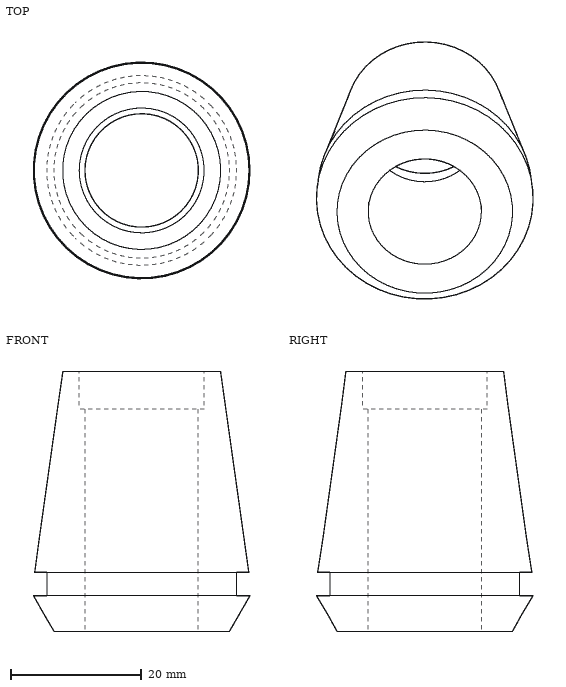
import cadquery as cq
import math

height = 40.0
flange_diameter = 33.35

flange_height = 5.5
flange_angle = 30.0

groove_diameter = 29.2
groove_width = 3.6

taper_top_diameter = 24.3
taper_angle = 8.0

bore_diameter = 17.4
counterbore_diameter = 19.2
counterbore_depth = 5.8


def radial_change(length, angle):
    """Change in radius along an axial length at an angle to the axis."""
    return length * math.tan(math.radians(angle))


def collet_body():
    """Solid of revolution about Z: flange, groove and taper."""
    flange_top_radius = flange_diameter / 2
    flange_bottom_radius = flange_top_radius - radial_change(flange_height, flange_angle)
    groove_radius = groove_diameter / 2
    taper_start = flange_height + groove_width
    taper_top_radius = taper_top_diameter / 2
    taper_bottom_radius = taper_top_radius + radial_change(height - taper_start, taper_angle)
    half_section = (
        cq.Workplane("XZ")
        .lineTo(flange_bottom_radius, 0)
        .lineTo(flange_top_radius, flange_height)
        .lineTo(groove_radius, flange_height)
        .lineTo(groove_radius, taper_start)
        .lineTo(taper_bottom_radius, taper_start)
        .lineTo(taper_top_radius, height)
        .lineTo(0, height)
        .close()
    )
    return half_section.revolve(360, (0, 0, 0), (0, 1, 0))


def cut_stepped_bore(body):
    """Through bore with a shallow counterbore at the top."""
    return (
        body.faces(">Z")
        .workplane(origin=(0, 0, height))
        .cboreHole(bore_diameter, counterbore_diameter, counterbore_depth)
    )


result = cut_stepped_bore(collet_body())